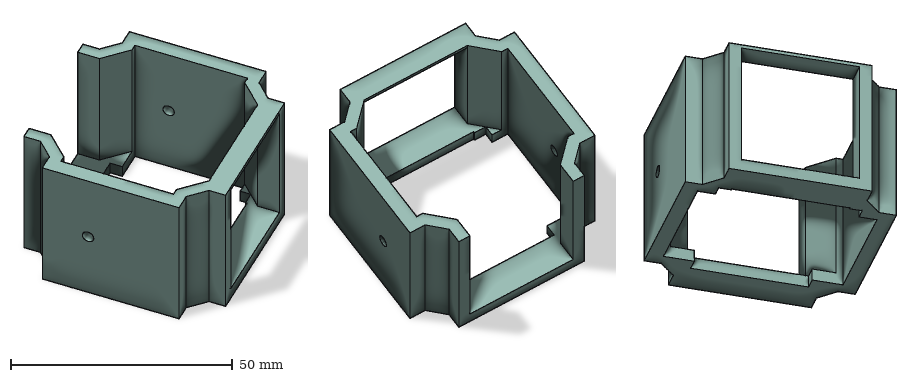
import cadquery as cq

side = 49.7
height = 34.1
half_side = side / 2
arm_half = 16.85
step_depth = 4.1

side_wall = 3.75
end_wall = 5.35
opening_half = 13.85

floor_thickness = 3.0
window_top_bar = 0.9
notch_x = 16.5
notch_y = 16.9

hole_diameter = 2.8
hole_x = -5.55
hole_z = height / 2


def mirrored_outline(corner):
    """Closed outline from one +X+Y corner, listed from the +X side to the +Y side."""
    upper_left = [(-x, y) for x, y in reversed(corner)]
    lower_left = [(-x, -y) for x, y in corner]
    lower_right = [(x, -y) for x, y in reversed(corner)]
    return corner + upper_left + lower_left + lower_right


def prism(outline, bottom, top):
    return cq.Workplane("XY").workplane(offset=bottom).polyline(outline).close().extrude(top - bottom)


def box(x_range, y_range, z_range):
    """Block between the given limits along X, Y and Z."""
    lows, highs = zip(x_range, y_range, z_range)
    sizes = [high - low for low, high in zip(lows, highs)]
    return cq.Workplane("XY").box(*sizes, centered=False).translate(lows)


def outer_body():
    step = half_side - step_depth
    corner = [(half_side, arm_half), (step, arm_half), (arm_half, step), (arm_half, half_side)]
    return prism(mirrored_outline(corner), 0, height)


def cavity():
    cavity_x = half_side - end_wall
    cavity_y = half_side - side_wall
    corner = [
        (cavity_x, opening_half),
        (opening_half, cavity_x),
        (opening_half, cavity_y),
    ]
    return prism(mirrored_outline(corner), floor_thickness, height)


def floor_opening():
    cavity_y = half_side - side_wall
    wide = box((-arm_half, arm_half), (-opening_half, opening_half), (0, floor_thickness))
    long = box((-opening_half, opening_half), (-cavity_y, cavity_y), (0, floor_thickness))
    notches = box((0, notch_x), (-notch_y, notch_y), (0, floor_thickness))
    return wide.union(long).union(notches)


def end_openings():
    """Open-topped slot through the -X wall and closed window through the +X wall."""
    width = (-opening_half, opening_half)
    slot = box((-half_side, 0), width, (floor_thickness, height))
    window = box((0, half_side), width, (floor_thickness, height - window_top_bar))
    return slot.union(window)


def cross_hole():
    hole = cq.Workplane("XZ").center(hole_x, hole_z).circle(hole_diameter / 2)
    return hole.extrude(half_side, both=True)


result = outer_body().cut(cavity()).cut(floor_opening()).cut(end_openings()).cut(cross_hole())